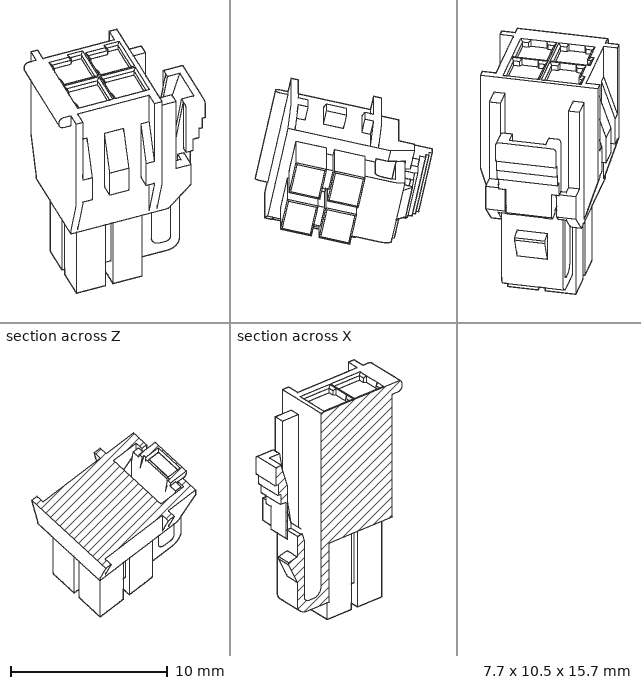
import cadquery as cq
import math


housing_half = 2.95
housing_back = 5.92
housing_bottom = 5.81
top = 15.7

flange_half = 3.85
front_flange_depth = 0.47
back_flange_start = 5.39
flange_taper_top = 8.9
flange_taper_bottom = 6.05

rib_spans = [
    (front_flange_depth, 1.11),
    (2.31, 3.63),
    (4.82, back_flange_start),
]
rib_bottom = 9.03
rib_knee = 10.86
rib_top = 13.49

bead_reach = 0.82
bead_height = 0.83
bead_radius = 0.33

divider_half = 0.06
cavity_outer = 2.43
cavity_depth = 0.49
cavity_chamfer = 0.15
cavity_length = 2.42
cavity_fronts = [0.68, 3.19]
key_reach = 2.68
key_length = 1.05
notch_inner_width = 1.25
notch_outer_width = 1.05

tower_size = 2.01
tower_gap_x = 0.45
tower_gap_y = 0.5
tower_front = 0.68
tower_chamfer = 0.1
tower_chamfer_height = 0.06
web_half = 0.63
web_bottom = 1.68

guard_inner = 2.23
guard_back = 7.24
guard_top = 14.59
hook_inner = 1.7
hook_start = 7.85
hook_back = 8.27
hook_bottom = 7.33
hook_top = 8.98
guard_foot = 6.7

strap_half = 2.01
strap_front = guard_back
strap_back = 7.87
strap_bottom = 1.46
strap_bend_radius = 0.83
loop_floor = 2.25
loop_radius = 0.58
loop_corner_radius = 0.33
shoulder_y = 7.38

lever_half = 1.49
lever_knee = 6.77
lever_top = 13.06
lever_front = 8.32
lever_back = 8.8
lever_bottom = hook_bottom
lever_chamfer = 0.2
grip_half = 1.98
grip_bottom = 9.22
grip_fillet = 0.22
grip_steps = [(9.22, 10.16), (9.44, 10.91), (9.64, 11.7)]

recess_half = 1.2
recess_back = 9.17
window_half = 1.02
window_front = 7.54
window_back = 8.65

catch_half = 0.99
catch_tip = 8.57
catch_bottom = 3.92
catch_top = housing_bottom
catch_tip_bottom = 5.46
catch_tip_top = 5.64


def box(x0, x1, y0, y1, z0, z1):
    return cq.Workplane("XY").box(x1 - x0, y1 - y0, z1 - z0, centered=False).translate((x0, y0, z0))


def side_profile(points, half_width):
    """Y-Z outline extruded evenly to both sides of X = 0."""
    return cq.Workplane("YZ").polyline(points).close().extrude(half_width, both=True)


def front_profile(points, y0, y1):
    """X-Z outline extruded from y0 to y1."""
    return cq.Workplane("XZ", origin=(0, y0, 0)).polyline(points).close().extrude(y0 - y1)


def make_flange(y0, y1):
    right_side = [
        (housing_half, flange_taper_bottom),
        (flange_half, flange_taper_top),
        (flange_half, top),
    ]
    left_side = [(-x, z) for x, z in reversed(right_side)]
    return front_profile(right_side + left_side, y0, y1)


def make_rib_pair(y0, y1):
    right_side = [
        (housing_half, rib_bottom),
        (flange_half, rib_bottom),
        (flange_half, rib_knee),
        (housing_half, rib_top),
    ]
    left_side = [(-x, z) for x, z in reversed(right_side)]
    return front_profile(right_side + left_side, y0, y1)


def make_bead():
    bar = box(-housing_half, housing_half, -bead_reach, 0, top - bead_height, top)
    return bar.edges("<Y and |X").fillet(bead_radius)


def make_cavity(outline, notch_center, front):
    """Chamfered mouth, straight pocket below it and a notch through the front of the mouth."""
    rim = cq.Workplane("XY", origin=(0, 0, top)).polyline(outline).close()
    mouth = rim.extrude(-cavity_chamfer, taper=45)
    pocket = (
        cq.Workplane("XY", origin=(0, 0, top))
        .polyline(outline)
        .close()
        .offset2D(-cavity_chamfer)
        .extrude(-cavity_depth)
    )
    inner_y = front + cavity_chamfer
    notch_outline = [
        (notch_center - notch_outer_width / 2, front),
        (notch_center + notch_outer_width / 2, front),
        (notch_center + notch_inner_width / 2, inner_y),
        (notch_center - notch_inner_width / 2, inner_y),
    ]
    notch = cq.Workplane("XY", origin=(0, 0, top)).polyline(notch_outline).close().extrude(-cavity_depth)
    return mouth.union(pocket).union(notch)


def make_cavity_row(front):
    back = front + cavity_length
    key_front = back - key_length
    plain_outline = [
        (divider_half, front),
        (cavity_outer, front),
        (cavity_outer, back),
        (divider_half, back),
    ]
    keyed_outline = [
        (-divider_half, front),
        (-divider_half, back),
        (-key_reach, back),
        (-key_reach, key_front),
        (-cavity_outer, key_front),
        (-cavity_outer, front),
    ]
    notch_center = (divider_half + cavity_outer) / 2
    plain = make_cavity(plain_outline, notch_center, front)
    return plain.union(make_cavity(keyed_outline, -notch_center, front))


def make_tower(x0, y0):
    body = box(x0, x0 + tower_size, y0, y0 + tower_size, 0, housing_bottom)
    return body.faces("<Z").chamfer(tower_chamfer_height, tower_chamfer)


def make_guards():
    outline = [
        (housing_back, housing_bottom),
        (guard_foot, housing_bottom),
        (hook_back, hook_bottom),
        (hook_back, hook_top),
        (guard_back, hook_top),
        (guard_back, guard_top),
        (housing_back, guard_top),
    ]
    walls = side_profile(outline, housing_half)
    slot = box(-guard_inner, guard_inner, housing_back, hook_start, 0, top)
    hook_gap = box(-hook_inner, hook_inner, housing_back, hook_back, 0, top)
    return walls.cut(slot).cut(hook_gap)


def lever_front_z(y):
    """Height of the sloping lever front at a given Y."""
    slope = (lever_top - lever_knee) / (lever_front - strap_front)
    return lever_knee + slope * (y - strap_front)


def make_strap():
    tower_back = tower_front + 2 * tower_size + tower_gap_y
    shoulder_z = lever_front_z(shoulder_y)
    bend_y = strap_back - strap_bend_radius
    bend_z = strap_bottom + strap_bend_radius
    bend_offset = strap_bend_radius * math.sqrt(0.5)
    loop_y = housing_back + loop_radius
    loop_z = loop_floor + loop_radius
    loop_offset = loop_radius * math.sqrt(0.5)
    return (
        cq.Workplane("YZ")
        .moveTo(tower_back, strap_bottom)
        .lineTo(bend_y, strap_bottom)
        .threePointArc((bend_y + bend_offset, bend_z - bend_offset), (strap_back, bend_z))
        .lineTo(strap_back, shoulder_z)
        .lineTo(shoulder_y, shoulder_z)
        .lineTo(strap_front, lever_knee)
        .lineTo(strap_front, loop_floor + loop_corner_radius)
        .radiusArc((strap_front - loop_corner_radius, loop_floor), loop_corner_radius)
        .lineTo(loop_y, loop_floor)
        .threePointArc((loop_y - loop_offset, loop_z - loop_offset), (housing_back, loop_z))
        .lineTo(housing_back, housing_bottom)
        .lineTo(tower_back, housing_bottom)
        .close()
        .extrude(strap_half, both=True)
    )


def make_lever():
    neck_outline = [
        (strap_front, lever_knee),
        (strap_back, lever_knee),
        (strap_back, lever_bottom),
        (lever_back - lever_chamfer, lever_bottom),
        (lever_back, lever_bottom + lever_chamfer),
        (lever_back, lever_top),
        (lever_front, lever_top),
    ]
    lever = side_profile(neck_outline, lever_half)
    grip = box(-grip_half, grip_half, lever_front, lever_back, grip_bottom, lever_top)
    for step_back, step_bottom in grip_steps:
        grip = grip.union(box(-grip_half, grip_half, lever_front, step_back, step_bottom, lever_top))
    grip = grip.edges("|Y and >Z").fillet(grip_fillet)
    return lever.union(grip)


def make_lever_recess():
    """Sloping trough in the lever front, opened through by a vertical window."""
    trough = side_profile(
        [(strap_front, lever_knee), (recess_back, lever_top), (strap_front, lever_top)],
        recess_half,
    )
    window = box(-window_half, window_half, window_front, window_back, lever_bottom, lever_top)
    return trough.union(window)


def make_catch():
    outline = [
        (strap_back, catch_bottom),
        (catch_tip, catch_tip_bottom),
        (catch_tip, catch_tip_top),
        (strap_back, catch_top),
    ]
    return side_profile(outline, catch_half)


result = box(-housing_half, housing_half, 0, housing_back, housing_bottom, top)
result = result.union(make_flange(0, front_flange_depth))
result = result.union(make_flange(back_flange_start, housing_back))
for rib_start, rib_end in rib_spans:
    result = result.union(make_rib_pair(rib_start, rib_end))
result = result.union(make_bead())

tower_pitch_y = tower_size + tower_gap_y
web_front = tower_front + tower_size
for tower_x in (-tower_gap_x / 2 - tower_size, tower_gap_x / 2):
    for tower_y in (tower_front, tower_front + tower_pitch_y):
        result = result.union(make_tower(tower_x, tower_y))
    web_x = tower_x + tower_size / 2
    web = box(
        web_x - web_half, web_x + web_half, web_front, web_front + tower_gap_y, web_bottom, housing_bottom
    )
    result = result.union(web)

latch = make_strap().union(make_lever()).cut(make_lever_recess()).union(make_catch())
result = result.union(make_guards()).union(latch)

for cavity_front in cavity_fronts:
    result = result.cut(make_cavity_row(cavity_front))